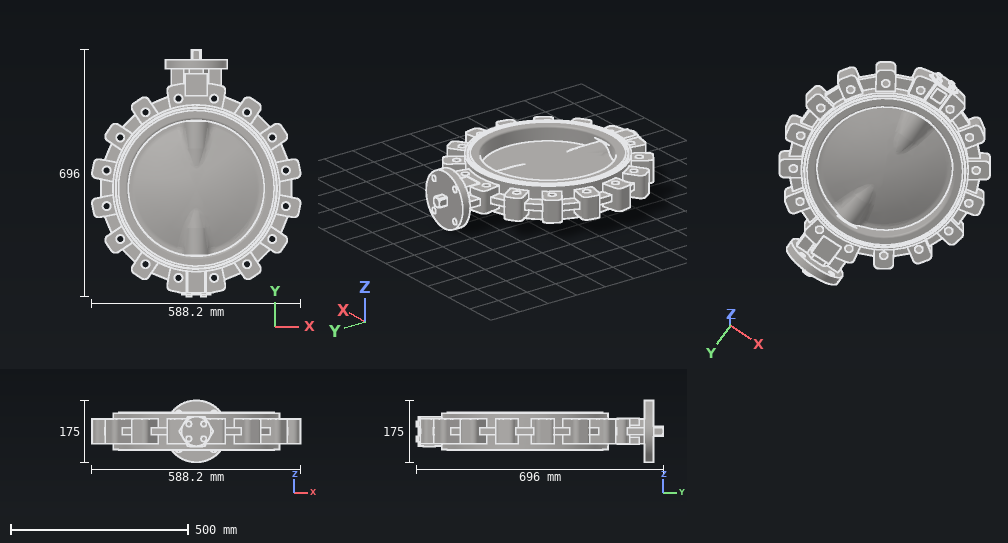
import cadquery as cq
import math

BODY_RADIUS = 235.0
BODY_HALF_HEIGHT = 51.5
LINER_RADIUS = 219.5
LINER_HALF_HEIGHT = 53.5
BORE_RADIUS = 191.6
BORE_ROUND = 8.0
SEAL_GROOVE_INNER_RADIUS = 226.0
SEAL_GROOVE_OUTER_RADIUS = 228.0
SEAL_GROOVE_DEPTH = 2.0

LUG_COUNT = 16
LUG_PITCH = 360.0 / LUG_COUNT
LUG_REACH = 297.0
LUG_WIDTH = 55.0
LUG_HEIGHT = 70.0
LUG_ROUND = 14.5
BOLT_CIRCLE_RADIUS = 257.5
BOLT_HOLE_DIAMETER = 22.0
WEB_APOTHEM = 269.0
WEB_THICKNESS = 20.0

DISC_APEX = 37.0
DOME_RADIUS = 518.0
RIM_HALF_THICKNESS = 6.0
RIM_FILLET = 25.0

HUB_RADIUS = 37.0
HUB_CYLINDER_START = 112.0
HUB_TIP = 57.0
HUB_FILLET = 29.0
HUB_TIP_OVERLAP = 15.0
HUB_BLANK_OVERRUN = 10.0
EDGE_MARGIN = 0.1
HUB_PAD_WIDTH = 68.0
HUB_PAD_HEIGHT = 77.0

FLANGE_DIAMETER = 175.0
FLANGE_START = 336.5
FLANGE_END = 362.5
FLANGE_BOLT_CIRCLE = 140.0
FLANGE_HOLE_DIAMETER = 18.0
FLANGE_HOLE_COUNT = 4
FLANGE_FIRST_HOLE_ANGLE = 45.0
NECK_APOTHEM = LUG_HEIGHT / 2
NECK_RIB_WIDTH = 141.0

STEM_END = 390.0
STEM_DIAMETER = 35.0
STEM_ACROSS_FLATS = 28.0
STEM_CHAMFER = 3.0

NAMEPLATE_SIZE = 61.0
NAMEPLATE_OUTER_END = 322.0
NAMEPLATE_HALF_HEIGHT = 37.0

BOTTOM_BOSS_APOTHEM = 41.5
BOTTOM_BOSS_END = 295.0
BOTTOM_PAD_SIZE = 33.0
BOTTOM_PAD_THICKNESS = 2.0
BOTTOM_PAD_CENTRE = 269.5
COVER_THICKNESS = 5.0
COVER_SCREW_SPACING = 42.0
COVER_SCREW_DIAMETER = 15.5
COVER_SCREW_END = 306.0

ROOT_RADIUS = (BORE_RADIUS + BODY_RADIUS) / 2
DISC_BLANK_RADIUS = BODY_RADIUS
HUB_BLANK_END = DISC_BLANK_RADIUS + HUB_BLANK_OVERRUN
COVER_END = BOTTOM_BOSS_END + COVER_THICKNESS


def y_plane(y):
    """Workplane facing +Y with local x along +X and local y along -Z."""
    return cq.Workplane("XZ", origin=(0, y, 0)).transformed(rotate=(180, 0, 0))


def y_box(width, y_start, y_end, height):
    """Box centred on X and Z, running from y_start to y_end."""
    return cq.Workplane("XY").box(width, y_end - y_start, height).translate((0, (y_start + y_end) / 2, 0))


def hexagon_bar(apothem, y_start, y_end):
    """Hexagonal bar along Y with flats facing +Z and -Z."""
    across_corners = 2 * apothem / math.cos(math.pi / 6)
    return y_plane(y_start).polygon(6, across_corners).extrude(y_end - y_start)


def ring_blank():
    """Solid drum of the body with the raised liner faces."""
    body = cq.Workplane("XY").circle(BODY_RADIUS).extrude(BODY_HALF_HEIGHT, both=True)
    liner = cq.Workplane("XY").circle(LINER_RADIUS).extrude(LINER_HALF_HEIGHT, both=True)
    return body.union(liner)


def lugs():
    lug = (
        cq.Workplane("XY")
        .box(LUG_REACH - ROOT_RADIUS, LUG_WIDTH, LUG_HEIGHT)
        .translate(((LUG_REACH + ROOT_RADIUS) / 2, 0, 0))
        .edges("|Z and >X")
        .fillet(LUG_ROUND)
    )
    ring = cq.Workplane("XY")
    for i in range(LUG_COUNT):
        ring = ring.add(lug.rotate((0, 0, 0), (0, 0, 1), (i + 0.5) * LUG_PITCH))
    return ring.combine()


def webs():
    across_corners = 2 * WEB_APOTHEM / math.cos(math.pi / LUG_COUNT)
    plate = cq.Workplane("XY").polygon(LUG_COUNT, across_corners).extrude(WEB_THICKNESS / 2, both=True)
    return plate.rotate((0, 0, 0), (0, 0, 1), LUG_PITCH / 2)


def shaft_lug_bridge():
    """Material joining the two lugs beside the shaft, with a flat between their outer faces."""
    half_pitch = math.radians(LUG_PITCH / 2)
    lug_face = (LUG_REACH * math.sin(half_pitch), LUG_REACH * math.cos(half_pitch))
    lug_root = (ROOT_RADIUS * math.sin(half_pitch), ROOT_RADIUS * math.cos(half_pitch))
    flat_end = (LUG_REACH - BOTTOM_BOSS_END * math.cos(half_pitch)) / math.sin(half_pitch)
    half = (
        cq.Workplane("XY")
        .polyline([(0, BOTTOM_BOSS_END), (flat_end, BOTTOM_BOSS_END), lug_face, lug_root, (0, ROOT_RADIUS)])
        .close()
        .extrude(LUG_HEIGHT / 2, both=True)
    )
    return half.union(half.mirror("YZ"))


def bolt_holes():
    first_hole = LUG_PITCH / 2
    return (
        cq.Workplane("XY")
        .polarArray(BOLT_CIRCLE_RADIUS, first_hole, 360, LUG_COUNT)
        .circle(BOLT_HOLE_DIAMETER / 2)
        .extrude(LUG_HEIGHT / 2, both=True)
    )


def bore():
    """Through bore with a rounded mouth at both ends."""
    mouth_radius = BORE_RADIUS + BORE_ROUND
    tangent = LINER_HALF_HEIGHT - BORE_ROUND
    offset = BORE_ROUND * (1 - math.sqrt(0.5))
    return (
        cq.Workplane("XZ")
        .moveTo(0, -LINER_HALF_HEIGHT)
        .lineTo(mouth_radius, -LINER_HALF_HEIGHT)
        .threePointArc((BORE_RADIUS + offset, -LINER_HALF_HEIGHT + offset), (BORE_RADIUS, -tangent))
        .lineTo(BORE_RADIUS, tangent)
        .threePointArc((BORE_RADIUS + offset, LINER_HALF_HEIGHT - offset), (mouth_radius, LINER_HALF_HEIGHT))
        .lineTo(0, LINER_HALF_HEIGHT)
        .close()
        .revolve(360, (0, 0, 0), (0, 1, 0))
    )


def seal_grooves():
    band = (
        cq.Workplane("XY")
        .circle(SEAL_GROOVE_OUTER_RADIUS)
        .circle(SEAL_GROOVE_INNER_RADIUS)
        .extrude(SEAL_GROOVE_DEPTH)
    )
    top = band.translate((0, 0, BODY_HALF_HEIGHT - SEAL_GROOVE_DEPTH))
    return top.union(top.mirror("XY"))


def dome_height(radius):
    """Height of the spherical dome at a distance from the disc axis."""
    return DISC_APEX - DOME_RADIUS + math.sqrt(DOME_RADIUS**2 - radius**2)


def dome_half():
    """Upper half of the disc blank: a dome blending into a flat rim that overruns the bore."""
    dome_centre = DISC_APEX - DOME_RADIUS
    blend_height = RIM_HALF_THICKNESS + RIM_FILLET
    blend_radius = math.sqrt((DOME_RADIUS + RIM_FILLET) ** 2 - (blend_height - dome_centre) ** 2)
    dome_edge = blend_radius * DOME_RADIUS / (DOME_RADIUS + RIM_FILLET)
    half_slope = math.asin(dome_edge / DOME_RADIUS) / 2
    blend_middle = (
        blend_radius - RIM_FILLET * math.sin(half_slope),
        blend_height - RIM_FILLET * math.cos(half_slope),
    )
    return (
        cq.Workplane("XZ")
        .lineTo(0, DISC_APEX)
        .threePointArc((dome_edge / 2, dome_height(dome_edge / 2)), (dome_edge, dome_height(dome_edge)))
        .threePointArc(blend_middle, (blend_radius, RIM_HALF_THICKNESS))
        .lineTo(DISC_BLANK_RADIUS, RIM_HALF_THICKNESS)
        .lineTo(DISC_BLANK_RADIUS, 0)
        .close()
        .revolve(360, (0, 0, 0), (0, 1, 0))
    )


def hub_half():
    """Upper half of the +Y shaft hub: a cylinder with a cone that sinks into the dome at the tip."""
    tip_height = dome_height(HUB_TIP)
    taper = (HUB_RADIUS - tip_height) / (HUB_CYLINDER_START - HUB_TIP)
    cone_start = HUB_TIP - HUB_TIP_OVERLAP
    hub = (
        cq.Workplane("YZ")
        .moveTo(cone_start, 0)
        .lineTo(cone_start, tip_height - taper * HUB_TIP_OVERLAP)
        .lineTo(HUB_CYLINDER_START, HUB_RADIUS)
        .lineTo(HUB_BLANK_END, HUB_RADIUS)
        .lineTo(HUB_BLANK_END, 0)
        .close()
        .revolve(360, (0, 0, 0), (1, 0, 0))
    )
    upper_space = cq.Workplane("XY").circle(2 * HUB_BLANK_END).extrude(2 * HUB_RADIUS)
    return hub.intersect(upper_space)


def is_hub_root(edge):
    """True for the edges where the hubs meet the dome and the rim."""
    centre = edge.Center()
    inside_blank = math.hypot(centre.x, centre.y) < DISC_BLANK_RADIUS - EDGE_MARGIN
    at_root_height = RIM_HALF_THICKNESS - EDGE_MARGIN < centre.z < HUB_RADIUS - EDGE_MARGIN
    return edge.geomType() != "CIRCLE" and inside_blank and at_root_height


def disc():
    """Double-domed disc with filleted shaft hubs, trimmed to the bore."""
    hub = hub_half()
    blank = dome_half().union(hub).union(hub.mirror("XZ"))
    roots = [edge for edge in blank.edges().vals() if is_hub_root(edge)]
    filleted = blank.newObject(roots).fillet(HUB_FILLET)
    trim = cq.Workplane("XY").circle(ROOT_RADIUS).extrude(2 * HUB_RADIUS)
    upper = filleted.intersect(trim)
    return upper.union(upper.mirror("XY"))


def hub_pads():
    """Flat seats on the bore wall facing the ends of the hubs."""
    face = math.sqrt(BORE_RADIUS**2 - (HUB_PAD_WIDTH / 2) ** 2)
    pad = y_box(HUB_PAD_WIDTH, face, ROOT_RADIUS, HUB_PAD_HEIGHT)
    return pad.union(pad.mirror("XZ"))


def neck():
    """Hexagonal neck with two side ribs, carrying the actuator flange."""
    column = hexagon_bar(NECK_APOTHEM, ROOT_RADIUS, FLANGE_START)
    rib = y_box(NECK_RIB_WIDTH, ROOT_RADIUS, FLANGE_START, WEB_THICKNESS)
    return column.union(rib)


def actuator_flange():
    flange = y_plane(FLANGE_START).circle(FLANGE_DIAMETER / 2).extrude(FLANGE_END - FLANGE_START)
    holes = (
        y_plane(FLANGE_START)
        .polarArray(FLANGE_BOLT_CIRCLE / 2, FLANGE_FIRST_HOLE_ANGLE, 360, FLANGE_HOLE_COUNT)
        .circle(FLANGE_HOLE_DIAMETER / 2)
        .extrude(FLANGE_END - FLANGE_START)
    )
    return flange.cut(holes)


def stem():
    """Round shaft end with a chamfered tip and four flats."""
    length = STEM_END - FLANGE_START
    shaft = y_plane(FLANGE_START).circle(STEM_DIAMETER / 2).extrude(length).faces(">Y").chamfer(STEM_CHAMFER)
    return shaft.intersect(y_box(STEM_ACROSS_FLATS, FLANGE_START, STEM_END, STEM_ACROSS_FLATS))


def nameplate_block():
    return y_box(
        NAMEPLATE_SIZE, NAMEPLATE_OUTER_END - NAMEPLATE_SIZE, NAMEPLATE_OUTER_END, 2 * NAMEPLATE_HALF_HEIGHT
    )


def bottom_boss():
    """Hexagonal boss at -Y with a round screwed cover and a small pad underneath."""
    boss = hexagon_bar(BOTTOM_BOSS_APOTHEM, -BOTTOM_BOSS_END, -ROOT_RADIUS)
    pad = (
        cq.Workplane("XY")
        .rect(BOTTOM_PAD_SIZE, BOTTOM_PAD_SIZE)
        .extrude(BOTTOM_BOSS_APOTHEM + BOTTOM_PAD_THICKNESS)
        .mirror("XY")
        .translate((0, -BOTTOM_PAD_CENTRE, 0))
    )
    cover = y_plane(-COVER_END).circle(BOTTOM_BOSS_APOTHEM).extrude(COVER_THICKNESS)
    screws = (
        y_plane(-COVER_SCREW_END)
        .rarray(COVER_SCREW_SPACING, COVER_SCREW_SPACING, 2, 2)
        .circle(COVER_SCREW_DIAMETER / 2)
        .extrude(COVER_SCREW_END - BOTTOM_BOSS_END)
    )
    return boss.union(pad).union(cover).union(screws)


def outer_body():
    """Ring with everything that surrounds the bore."""
    bridge = shaft_lug_bridge()
    body = ring_blank().cut(seal_grooves())
    for part in (lugs(), webs(), bridge, bridge.mirror("XZ"), neck(), nameplate_block(), bottom_boss()):
        body = body.union(part)
    return body.cut(bolt_holes()).cut(bore()).union(actuator_flange()).union(stem())


result = outer_body().union(hub_pads()).union(disc())